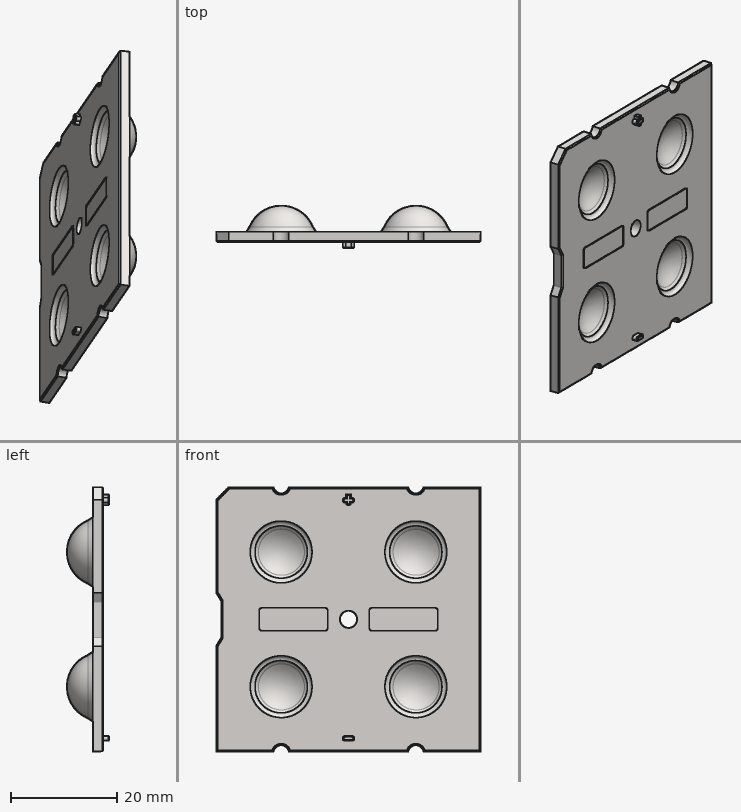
import cadquery as cq

plate_size = 49.9
plate_thickness = 2.0
half_size = plate_size / 2
front_bevel = 0.25
side_draft = 1.0

corner_cut = 2.4
side_notch_depth = 1.0
side_notch_half_mouth = 5.05
side_notch_half_floor = 3.35
edge_notch_depth = 1.2
edge_notch_half_mouth = 1.45
hole_radius = 1.6

lens_pitch = 25.4
lens_base_radius = 6.6
lens_sphere_base_radius = 6.0
lens_flare_height = 0.95
lens_height = 4.95

hollow_mouth_radius = 5.85
hollow_lip_radius = 0.9
hollow_roof_radius = 4.35
hollow_roof_start = 1.4
hollow_depth = 2.95

label_offset = 10.4
label_width = 12.85
label_height = 4.3
label_corner_radius = 0.45
label_depth = 0.15

peg_offset = 22.45
peg_length = 2.2
peg_width = 0.95
peg_height = 1.1
peg_tip_bevel = 0.2
cross_bar_top = 1.1
cross_bar_bottom = 0.95


def sphere_radius(base_radius, rise):
    """Radius of the sphere whose cap has this base radius and rise."""
    return (base_radius**2 + rise**2) / (2 * rise)


def cap_midpoint(base_radius, rise, apex_y):
    """Point on the cap profile halfway out from the axis to the base."""
    radius = sphere_radius(base_radius, rise)
    r = base_radius / 2
    return r, apex_y - radius + (radius**2 - r**2) ** 0.5


def front_sketch(y):
    """XZ sketch plane at depth y; positive extrusion goes towards -Y."""
    return cq.Workplane(cq.Plane(origin=(0, y, 0), xDir=(1, 0, 0), normal=(0, -1, 0)))


def edge_notch(outline, x, z, direction):
    """Follow the top (z > 0) or bottom edge past one round notch, travelling along X."""
    floor_z = z - edge_notch_depth if z > 0 else z + edge_notch_depth
    start_x = x - direction * edge_notch_half_mouth
    end_x = x + direction * edge_notch_half_mouth
    return outline.lineTo(start_x, z).threePointArc((x, floor_z), (end_x, z))


def make_plate():
    """Plate drawn at the back face and narrowing slightly towards the front."""
    outline = front_sketch(plate_thickness).moveTo(-half_size, -half_size)
    for x in (-lens_pitch / 2, lens_pitch / 2):
        outline = edge_notch(outline, x, -half_size, 1)
    outline = outline.lineTo(half_size, -half_size).lineTo(half_size, half_size)
    for x in (lens_pitch / 2, -lens_pitch / 2):
        outline = edge_notch(outline, x, half_size, -1)
    outline = (
        outline.lineTo(-half_size + corner_cut, half_size)
        .lineTo(-half_size, half_size - corner_cut)
        .lineTo(-half_size, side_notch_half_mouth)
        .lineTo(-half_size + side_notch_depth, side_notch_half_floor)
        .lineTo(-half_size + side_notch_depth, -side_notch_half_floor)
        .lineTo(-half_size, -side_notch_half_mouth)
        .close()
    )
    plate = outline.extrude(plate_thickness, taper=side_draft)
    return plate.faces("<Y").chamfer(front_bevel)


def make_dome():
    flare_top = plate_thickness + lens_flare_height
    apex = plate_thickness + lens_height
    return (
        cq.Workplane("XY")
        .lineTo(hollow_mouth_radius, 0)
        .lineTo(lens_base_radius, plate_thickness)
        .lineTo(lens_sphere_base_radius, flare_top)
        .threePointArc(cap_midpoint(lens_sphere_base_radius, apex - flare_top, apex), (0, apex))
        .close()
        .revolve(360, (0, 0, 0), (0, 1, 0))
    )


def make_hollow():
    throat_radius = hollow_mouth_radius - hollow_lip_radius
    roof_rise = hollow_depth - hollow_roof_start
    return (
        cq.Workplane("XY")
        .lineTo(hollow_mouth_radius, 0)
        .radiusArc((throat_radius, hollow_lip_radius), -hollow_lip_radius)
        .lineTo(hollow_roof_radius, hollow_roof_start)
        .threePointArc(cap_midpoint(hollow_roof_radius, roof_rise, hollow_depth), (0, hollow_depth))
        .close()
        .revolve(360, (0, 0, 0), (0, 1, 0))
    )


def make_slot_peg():
    peg = front_sketch(0).slot2D(peg_length, peg_width).extrude(peg_height)
    return peg.faces("<Y").chamfer(peg_tip_bevel)


def make_cross_peg():
    """Slot peg crossed by an upright bar with a flat top and a round bottom."""
    half_width = peg_width / 2
    round_centre = half_width - cross_bar_bottom
    bar = (
        front_sketch(0)
        .moveTo(half_width, round_centre)
        .lineTo(half_width, cross_bar_top)
        .lineTo(-half_width, cross_bar_top)
        .lineTo(-half_width, round_centre)
        .threePointArc((0, -cross_bar_bottom), (half_width, round_centre))
        .close()
        .extrude(peg_height)
    )
    return make_slot_peg().union(bar.faces("<Y").chamfer(peg_tip_bevel))


def make_label_recesses():
    recesses = (
        front_sketch(0)
        .pushPoints([(-label_offset, 0), (label_offset, 0)])
        .rect(label_width, label_height)
        .extrude(-label_depth)
    )
    return recesses.edges("|Y").fillet(label_corner_radius)


result = make_plate()

dome = make_dome()
hollow = make_hollow()
for lens_x in (-lens_pitch / 2, lens_pitch / 2):
    for lens_z in (-lens_pitch / 2, lens_pitch / 2):
        lens_place = (lens_x, 0, lens_z)
        result = result.union(dome.translate(lens_place)).cut(hollow.translate(lens_place))

result = result.cut(front_sketch(0).circle(hole_radius).extrude(-plate_thickness))
result = result.cut(make_label_recesses())
result = result.union(make_cross_peg().translate((0, 0, peg_offset)))
result = result.union(make_slot_peg().translate((0, 0, -peg_offset)))